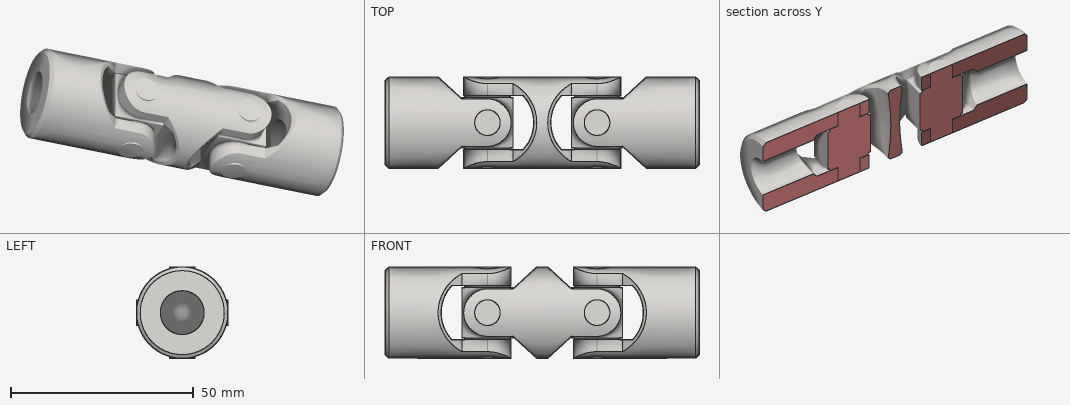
import cadquery as cq


total_length = 86.0
body_diameter = 25.0
bore_diameter = 12.0
end_chamfer = 1.0
joint_spacing = 30.0
arm_width = 13.0
slot_width = 14.8
barrel_center = 3.0
barrel_middle_radius = 10.5
barrel_end_radius = 9.5
shoulder_start = 7.0
shoulder_end = 13.5
block_length = 14.0
block_width = 13.75
collar_diameter = 12.5
pin_diameter = 7.0

body_radius = body_diameter / 2
arm_half = arm_width / 2
half_length = total_length / 2
joint_offset = joint_spacing / 2
pin_length = body_diameter
cut_margin = body_diameter


def x_cylinder(diameter, x_start, x_end):
    return cq.Workplane("YZ").workplane(offset=x_start).circle(diameter / 2).extrude(x_end - x_start)


def y_prism(outline):
    """Extrude an XZ outline through the whole body, symmetric about Y = 0."""
    return outline.extrude(cut_margin, both=True)


def arm_profile():
    """Fork outline seen along its pin: rounded tip on the -X side, sloped shoulders on the +X side."""
    return y_prism(
        cq.Workplane("XZ")
        .moveTo(0, arm_half)
        .lineTo(shoulder_start, arm_half)
        .lineTo(shoulder_end, body_radius)
        .lineTo(shoulder_end, cut_margin)
        .lineTo(total_length, cut_margin)
        .lineTo(total_length, -cut_margin)
        .lineTo(shoulder_end, -cut_margin)
        .lineTo(shoulder_end, -body_radius)
        .lineTo(shoulder_start, -arm_half)
        .lineTo(0, -arm_half)
        .threePointArc((-arm_half, 0), (0, arm_half))
        .close()
    )


def fork_slot():
    """Gap between the arms, running along Z, closed on the +X side by a barrel-shaped bottom."""
    gap = cq.Workplane("XY").box(2 * cut_margin, body_diameter, slot_width)
    barrel = (
        cq.Workplane("XY")
        .moveTo(0, -body_radius)
        .lineTo(barrel_end_radius, -body_radius)
        .threePointArc((barrel_middle_radius, 0), (barrel_end_radius, body_radius))
        .lineTo(0, body_radius)
        .close()
        .revolve(360, (0, 0, 0), (0, 1, 0))
        .translate((barrel_center, 0, 0))
    )
    mouth = cq.Workplane("XY").box(cut_margin, body_diameter, slot_width)
    mouth = mouth.translate((barrel_center - cut_margin / 2, 0, 0))
    slot = gap.intersect(barrel).union(mouth)
    return slot.rotate((0, 0, 0), (1, 0, 0), 90)


def pin_hole():
    return y_prism(cq.Workplane("XZ").circle(pin_diameter / 2))


def cut_fork(bar):
    """Shape a fork on the -X end of a bar, with its pin axis along Y through the origin."""
    return bar.intersect(arm_profile()).cut(fork_slot()).cut(pin_hole())


def end_yoke():
    """Yoke on the +X end of the joint, with its pin axis along Z."""
    hub_end = half_length - joint_offset
    bar = x_cylinder(body_diameter, -arm_half, hub_end)
    bar = bar.faces(">X").chamfer(end_chamfer)
    yoke = cut_fork(bar).cut(x_cylinder(bore_diameter, 0, hub_end))
    return yoke.rotate((0, 0, 0), (1, 0, 0), 90).translate((joint_offset, 0, 0))


def middle_yoke():
    """Double fork: one bar forked at both ends, with both pin axes along Y."""
    bar = x_cylinder(body_diameter, -arm_half, joint_spacing + arm_half)
    one_fork = cut_fork(bar).translate((-joint_offset, 0, 0))
    turned = one_fork.rotate((0, 0, 0), (0, 0, 1), 180)
    both_forks = cut_fork(turned.translate((joint_offset, 0, 0)))
    return both_forks.translate((-joint_offset, 0, 0))


def cross(center_x):
    """Nearly cubic block with collars and pins along Y and Z."""
    body = cq.Workplane("XY").box(block_length, block_width, block_width)
    for plane in ("XZ", "XY"):
        collar = cq.Workplane(plane).circle(collar_diameter / 2).extrude(slot_width / 2, both=True)
        pin = cq.Workplane(plane).circle(pin_diameter / 2).extrude(pin_length / 2, both=True)
        body = body.union(collar).union(pin)
    return body.translate((center_x, 0, 0))


right_yoke = end_yoke()
left_yoke = right_yoke.mirror("YZ")
center_yoke = middle_yoke()
crosses = [cross(side * joint_offset) for side in (-1, 1)]

result = cq.Compound.makeCompound(
    [left_yoke.val(), center_yoke.val(), right_yoke.val(), *[c.val() for c in crosses]]
)